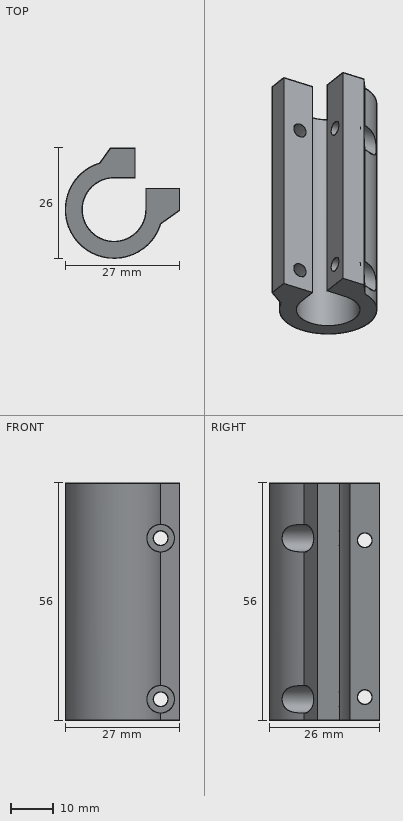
import cadquery as cq
import math

bore_radius = 7.5
wall = 4.0
outer_radius = bore_radius + wall
length = 56.0

ear_end = 5.0
rear_ear_reach = 14.5
right_ear_reach = 15.5
screw_offset = 11.0

ramp_start = screw_offset
ramp_depth = math.sqrt(outer_radius**2 - ramp_start**2)
ramp_angle = 35.5
ramp_slope = math.tan(math.radians(ramp_angle))

hole_diameter = 3.4
counterbore_diameter = 6.5
counterbore_floor = 0.0
right_screw_heights = (5.0, 43.0)
rear_screw_heights = (5.5, 42.5)


def ramp_end(reach):
    """Coordinate along the screw direction where the ramp meets the ear's outer face."""
    return -ramp_depth + (reach - ramp_start) * ramp_slope


def clamp_body():
    """Open tube with its two ears, extruded along Z."""
    return (
        cq.Workplane("XY")
        .moveTo(0, bore_radius)
        .lineTo(ear_end, bore_radius)
        .lineTo(ear_end, rear_ear_reach)
        .lineTo(ramp_end(rear_ear_reach), rear_ear_reach)
        .lineTo(-ramp_depth, ramp_start)
        .threePointArc(
            (-outer_radius * math.sqrt(0.5), -outer_radius * math.sqrt(0.5)),
            (ramp_start, -ramp_depth),
        )
        .lineTo(right_ear_reach, ramp_end(right_ear_reach))
        .lineTo(right_ear_reach, ear_end)
        .lineTo(bore_radius, ear_end)
        .lineTo(bore_radius, 0)
        .threePointArc(
            (-bore_radius * math.sqrt(0.5), -bore_radius * math.sqrt(0.5)),
            (0, bore_radius),
        )
        .close()
        .extrude(length)
    )


def screw_cutter(floor_center, direction):
    """Through hole toward the ear end, with a counterbore opening the opposite way."""
    hole = cq.Solid.makeCylinder(hole_diameter / 2, ear_end - counterbore_floor, floor_center, direction)
    counterbore = cq.Solid.makeCylinder(
        counterbore_diameter / 2, outer_radius, floor_center, -direction
    )
    return hole.fuse(counterbore)


result = clamp_body()

for height in right_screw_heights:
    center = cq.Vector(screw_offset, counterbore_floor, height)
    result = result.cut(screw_cutter(center, cq.Vector(0, 1, 0)))

for height in rear_screw_heights:
    center = cq.Vector(counterbore_floor, screw_offset, height)
    result = result.cut(screw_cutter(center, cq.Vector(1, 0, 0)))